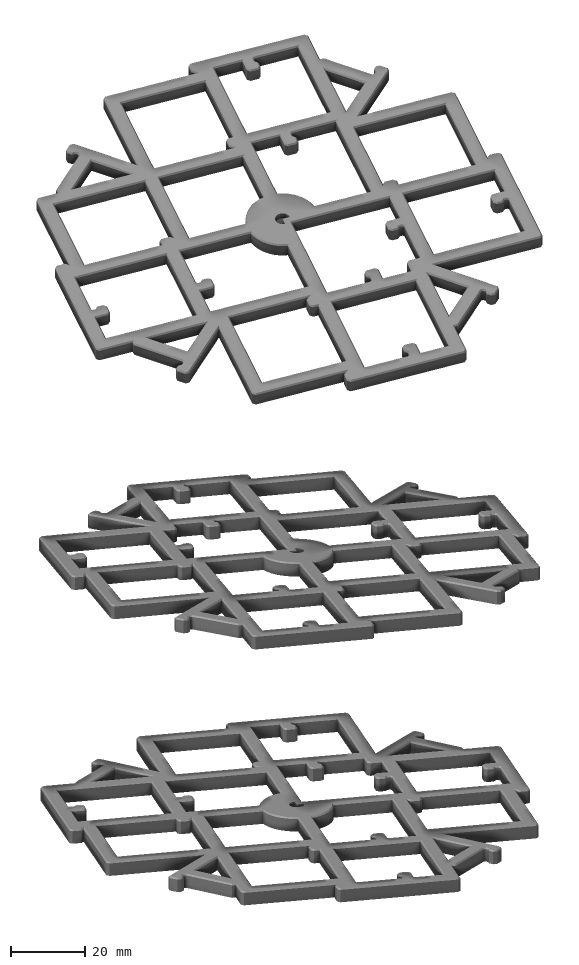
import cadquery as cq
import math

span = 128.0
thickness = 4.0
beam = 4.0
edge_chamfer = 0.4
corner_cut = 0.8
hub_radius = 10.0
socket_radius = 2.0
socket_depth = 1.9
hook_length = 4.4
notch_depth = 0.8
notch_flat = 0.8
notch_lead = notch_depth / 2
tab_reach = 4.2
hook_offset = 12.0
fin_foot = 53.8

half = span / 2
pitch = (half - beam) / 2
near = pitch - beam
two = 2 * pitch
mid = beam / 2
far_hook_offset = hook_offset + beam
fin_start = near * math.sqrt(2) + beam / 2


def bevelled(body):
    """Bevel the whole upper rim of a body."""
    return body.faces(">Z").edges().chamfer(edge_chamfer)


def block(x_min, x_max, y_min, y_max):
    """Upright block with bevelled upright corners."""
    return (
        cq.Workplane("XY")
        .box(x_max - x_min, y_max - y_min, thickness, centered=False)
        .edges("|Z")
        .chamfer(corner_cut)
        .translate((x_min, y_min, 0))
    )


def bar(x_min, x_max, y_min, y_max):
    """Rectangular beam with its upper rim bevelled."""
    return bevelled(block(x_min, x_max, y_min, y_max))


def notch(root):
    """Snap notch in the +Y flank of an arm along +X that leaves a beam face at x = root."""
    floor = mid - notch_depth
    return (
        cq.Workplane("XY")
        .polyline([
            (root - notch_lead, mid),
            (root + notch_lead, floor),
            (root + notch_lead + notch_flat, floor),
            (root + notch_lead + notch_flat + notch_depth, mid),
        ])
        .close()
        .extrude(thickness)
    )


def hook():
    """Hook growing along +X from a beam face at x = 0."""
    return bevelled(block(-mid, hook_length, -mid, mid).cut(notch(0)))


def fin():
    """Diagonal arm in the -X +Y corner, with a strut down to the beam at y = pitch."""
    arm = bevelled(block(fin_start, half, -mid, mid).cut(notch(two)))
    arm = arm.rotate((0, 0, 0), (0, 0, 1), 135)
    outer = two * math.sqrt(2)
    inner = (two - beam) * math.sqrt(2)
    strut = (
        cq.Workplane("XY")
        .polyline([
            (-outer / 2, outer / 2),
            (-fin_foot, outer - fin_foot),
            (-fin_foot, pitch - mid),
            (pitch - mid - inner, pitch - mid),
            (-inner / 2, inner / 2),
        ])
        .close()
        .extrude(thickness)
    )
    return arm.union(bevelled(strut))


def long_cross_beam(line):
    """Beam just outside y = line, whose -X end slopes down into the beam just inside that line."""
    slope = bevelled(
        cq.Workplane("XY")
        .polyline([
            (-tab_reach, line + mid),
            (-tab_reach, line + corner_cut),
            (-tab_reach + corner_cut + mid, line - mid),
            (0, line - mid),
            (0, line + mid),
        ])
        .close()
        .extrude(thickness)
    )
    return bar(-tab_reach, pitch, line, line + beam).union(slope)


cross_x = bar(-half, half, -mid, mid)
cross_y = bar(-mid, mid, -half, half)
quadrant = cq.Workplane("XY").box(near, near, thickness, centered=False)
hub = bevelled(cq.Workplane("XY").circle(hub_radius).extrude(thickness).cut(quadrant))
pieces = [hub, cross_x, cross_y]

for line in (pitch, two):
    for cross_beam in (long_cross_beam(line), bar(-pitch, mid, line - beam, line)):
        upright = cross_beam.rotate((0, 0, 0), (0, 0, 1), 90)
        pieces += [cross_beam, cross_beam.mirror("XZ"), upright, upright.mirror("YZ")]

pieces += [
    bar(near, pitch, near, half),
    bar(near, pitch, -half, -near),
    bar(-pitch, -near, near, two),
    bar(-pitch, -near, -two, -near),
    bar(near, half, near, pitch),
    bar(-half, -near, near, pitch),
    bar(near, two, -pitch, -near),
    bar(-two, -near, -pitch, -near),
]

for line in (pitch, two):
    for x, y, angle in (
        (hook_offset, line, -90),
        (far_hook_offset, -line, 90),
        (-line, hook_offset, 0),
        (line, far_hook_offset, 180),
    ):
        pieces.append(hook().rotate((0, 0, 0), (0, 0, 1), angle).translate((x, y, 0)))

for angle in (0, 90):
    left_fin = fin().rotate((0, 0, 0), (0, 0, 1), angle)
    pieces += [left_fin, left_fin.mirror("YZ")]

plate = cq.Workplane("XY").newObject([piece.val() for piece in pieces]).combine()

socket = cq.Workplane("XY").circle(socket_radius).extrude(socket_depth)
key = cq.Workplane("XY").box(beam, beam, socket_depth, centered=False)
result = plate.cut(socket.cut(key).translate((0, 0, thickness - socket_depth)))